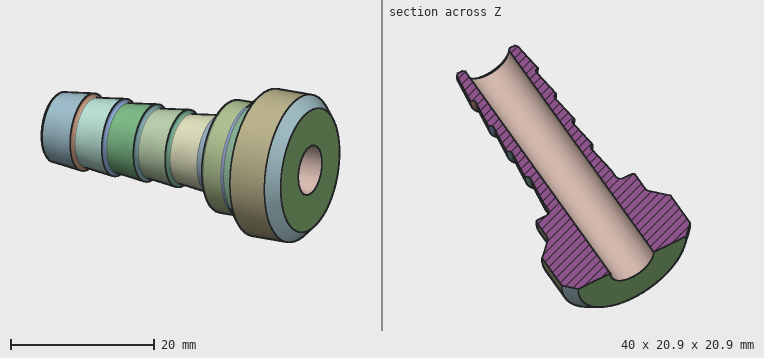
import cadquery as cq
import math

length = 40.0
bore_radius = 7.0 / 2
bore_chamfer = 0.3

barb_count = 5
barb_pitch = 5.0
barb_radius = 11.0 / 2
root_radius = 4.95
root_fillet = 0.5
nose_chamfer = 0.3

collar_start = 27.0
collar_radius = 16.0 / 2
collar_round = 0.3
collar_root_fillet = 0.8

head_radius = 20.9 / 2
head_shoulder_start = 32.9
head_end_chamfer = 1.7
head_root_fillet = 0.8

DIAGONAL = math.sqrt(0.5)


def add_quarter_round(profile, start, end, center, radius, across, up):
    """Add a quarter arc bulging from its center towards (across, up)."""
    middle = (center[0] + across * radius * DIAGONAL, center[1] + up * radius * DIAGONAL)
    return profile.lineTo(*start).threePointArc(middle, end)


def add_barbs(profile):
    """Tapered barbs; each step down to the next root ends in a concave fillet."""
    for index in range(1, barb_count):
        tip = index * barb_pitch
        profile = profile.lineTo(tip, barb_radius)
        profile = add_quarter_round(
            profile,
            (tip, root_radius + root_fillet),
            (tip + root_fillet, root_radius),
            (tip + root_fillet, root_radius + root_fillet),
            root_fillet, -1, -1,
        )
    return profile.lineTo(barb_count * barb_pitch, barb_radius)


def add_collar(profile):
    """Filleted step up to the collar and its rounded front edge."""
    fillet_start = collar_start - collar_root_fillet
    fillet_top = barb_radius + collar_root_fillet
    profile = add_quarter_round(
        profile, (fillet_start, barb_radius), (collar_start, fillet_top),
        (fillet_start, fillet_top), collar_root_fillet, 1, -1,
    )
    round_end = collar_start + collar_round
    round_base = collar_radius - collar_round
    return add_quarter_round(
        profile, (collar_start, round_base), (round_end, collar_radius),
        (round_end, round_base), collar_round, -1, 1,
    )


def add_head(profile):
    """Collar-to-cone fillet, 45 degree shoulder, cylinder and end chamfer."""
    cone_start = head_shoulder_start - (head_radius - collar_radius)
    half_turn = math.radians(45 / 2)
    fillet_start = cone_start - head_root_fillet * math.tan(half_turn)

    def fillet_point(angle):
        return (
            fillet_start + head_root_fillet * math.sin(angle),
            collar_radius + head_root_fillet * (1 - math.cos(angle)),
        )

    profile = profile.lineTo(fillet_start, collar_radius)
    profile = profile.threePointArc(fillet_point(half_turn), fillet_point(2 * half_turn))
    profile = profile.lineTo(head_shoulder_start, head_radius)
    profile = profile.lineTo(length - head_end_chamfer, head_radius)
    return profile.lineTo(length, head_radius - head_end_chamfer)


section = cq.Workplane("XY").moveTo(bore_chamfer, bore_radius)
section = section.lineTo(0, bore_radius + bore_chamfer)
section = section.lineTo(0, root_radius - nose_chamfer).lineTo(nose_chamfer, root_radius)
section = add_barbs(section)
section = add_collar(section)
section = add_head(section)
section = section.lineTo(length, bore_radius).close()

result = section.revolve(360, (0, 0, 0), (1, 0, 0))